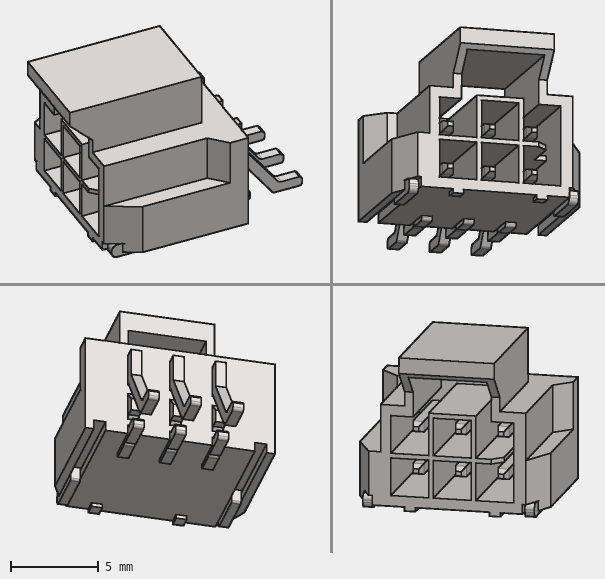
import cadquery as cq


HOUSING_WIDTH = 11.25
HOUSING_DEPTH = 8.7
HOUSING_HEIGHT = 6.0
NOSE_TAPER_WIDTH = 0.99
NOSE_TAPER_DEPTH = 1.98
NOSE_HALF_WIDTH = HOUSING_WIDTH / 2 - NOSE_TAPER_WIDTH

REBATE_FLOOR_Z = 3.2
REBATE_DEPTH = 6.55
LEFT_LEDGE = 0.59
LEFT_REAR_SLOPE = 1.1

COLUMNS = 3
PITCH = 2.5
GRID_CENTER_X = 0.3
LOWER_ROW_Z = 1.75
UPPER_ROW_Z = LOWER_ROW_Z + PITCH
CELL_SIZE = 2.23
CELL_DEPTH = 6.93
CELL_WALL = PITCH - CELL_SIZE
COLUMN_X = [GRID_CENTER_X + PITCH * (i - (COLUMNS - 1) / 2) for i in range(COLUMNS)]
CELL_ROOF_Z = UPPER_ROW_Z + CELL_SIZE / 2

GAP_WIDTH = 0.71
GAP_CHAMFER = 0.62
GAP_DEPTH = 2.95

LATCH_WIDTH = 5.62
LATCH_WALL = 0.5
LATCH_TOP_Z = 9.21
LATCH_ROOF = 1.21
LATCH_LIP_HEIGHT = 0.93
LATCH_OVERHANG = 1.45
LATCH_REAR_Y = 6.93
LATCH_OPENING = LATCH_WIDTH - 2 * LATCH_WALL

PIN_SIZE = 0.63
PIN_TIP_Y = 1.56
PIN_TAPER = 0.59
PIN_TIP_WIDTH = 0.32
PIN_TIP_HEIGHT = 0.27
TAIL_BLOCK_DEPTH = 0.75
TAIL_ROOT_DEPTH = 0.3
TAIL_BLOCK_Y = HOUSING_DEPTH + TAIL_BLOCK_DEPTH
FOOT_BOTTOM_Z = -0.28
FOOT_TOP_Z = FOOT_BOTTOM_Z + PIN_SIZE
TOE_BEVEL = 0.18
SOLE_RADIUS = 0.19
INSTEP_RADIUS = 0.28
UPPER_TAIL_END_Y = 13.3
UPPER_BLOCK_TOP_Z = 5.19
UPPER_BLOCK_BOTTOM_Z = 3.27
UPPER_BEND_Z = 3.52
UPPER_BEND_GAP = 0.13
UPPER_INSTEP_Y = 11.82
UPPER_HEEL_Y = 11.45
LOWER_TAIL_END_Y = 10.0
LOWER_BLOCK_TOP_Z = 1.92
LOWER_BLOCK_BOTTOM_Z = 1.15
NECK_BEVEL = 0.19
LOWER_HEEL_Y = 7.99

PAD_FRONT_Y = 6.35
FOOT_HEIGHT = 0.24
FOOT_DEPTH = 0.74

CLIP_CENTER_X = 4.78
CLIP_WIDTH = 0.56
CLIP_FRONT_Y = 0.3
CLIP_REAR_Y = 3.38
CLIP_NOSE_RADIUS = 0.35
CLIP_HEEL_RADIUS = 0.12
GROOVE_WIDTH = 0.7
GROOVE_HEIGHT = 0.57


def block(x0, x1, y0, y1, z0, z1):
    """Axis-aligned box between the given limits."""
    return cq.Workplane("XY").box(x1 - x0, y1 - y0, z1 - z0, centered=False).translate((x0, y0, z0))


def side_profile(points, center_x, width):
    """Extrude a (Y, Z) outline along X, centred on center_x."""
    outline = cq.Workplane("YZ").polyline(points).close()
    return outline.extrude(width / 2, both=True).translate((center_x, 0, 0))


def plan_profile(points, z0, z1):
    """Extrude an (X, Y) outline from z0 up to z1."""
    return cq.Workplane("XY", origin=(0, 0, z0)).polyline(points).close().extrude(z1 - z0)


def housing_shell():
    half = HOUSING_WIDTH / 2
    plan = [
        (-NOSE_HALF_WIDTH, 0),
        (NOSE_HALF_WIDTH, 0),
        (half, NOSE_TAPER_DEPTH),
        (half, HOUSING_DEPTH),
        (-half, HOUSING_DEPTH),
        (-half, NOSE_TAPER_DEPTH),
    ]
    return plan_profile(plan, 0, HOUSING_HEIGHT)


def side_rebates():
    half = HOUSING_WIDTH / 2
    left_wall_x = -half + LEFT_REAR_SLOPE + LEFT_LEDGE
    left = [
        (-half, 0),
        (left_wall_x, 0),
        (left_wall_x, REBATE_DEPTH),
        (left_wall_x - LEFT_LEDGE, REBATE_DEPTH),
        (-half, REBATE_DEPTH + LEFT_REAR_SLOPE),
    ]
    right = [
        (half, 0),
        (NOSE_HALF_WIDTH, 0),
        (NOSE_HALF_WIDTH, REBATE_DEPTH),
        (half, REBATE_DEPTH + NOSE_TAPER_WIDTH),
    ]
    left_cut = plan_profile(left, REBATE_FLOOR_Z, HOUSING_HEIGHT)
    return left_cut.union(plan_profile(right, REBATE_FLOOR_Z, HOUSING_HEIGHT))


def latch_bridge():
    lip_bottom_z = LATCH_TOP_Z - LATCH_LIP_HEIGHT
    outline = [
        (0, CELL_ROOF_Z),
        (LATCH_REAR_Y, CELL_ROOF_Z),
        (LATCH_REAR_Y, LATCH_TOP_Z),
        (-LATCH_OVERHANG, LATCH_TOP_Z),
        (-LATCH_OVERHANG, lip_bottom_z),
        (0, lip_bottom_z - LATCH_OVERHANG),
    ]
    return side_profile(outline, GRID_CENTER_X, LATCH_WIDTH)


def latch_openings():
    """Tunnel through the latch, and the slot below it that opens into the upper cells around the key box."""
    x0 = GRID_CENTER_X - LATCH_OPENING / 2
    x1 = GRID_CENTER_X + LATCH_OPENING / 2
    tunnel = block(x0, x1, -LATCH_OVERHANG, LATCH_REAR_Y, HOUSING_HEIGHT, LATCH_TOP_Z - LATCH_ROOF)
    slot = block(x0, x1, 0, CELL_DEPTH, UPPER_ROW_Z, HOUSING_HEIGHT)
    key_half_width = CELL_SIZE / 2 + CELL_WALL
    key_box = block(
        GRID_CENTER_X - key_half_width, GRID_CENTER_X + key_half_width,
        0, CELL_DEPTH, UPPER_ROW_Z, CELL_ROOF_Z + CELL_WALL,
    )
    return tunnel.union(slot.cut(key_box))


def contact_cells():
    half = CELL_SIZE / 2
    cells = cq.Workplane("XY")
    for z in (LOWER_ROW_Z, UPPER_ROW_Z):
        for x in COLUMN_X:
            cells = cells.union(block(x - half, x + half, 0, CELL_DEPTH, z - half, z + half))
    return cells


def divider_gap():
    """Gap joining the two right-hand cells, flared at the mating face."""
    outer_x = COLUMN_X[-1] + CELL_SIZE / 2
    inner_x = outer_x - GAP_WIDTH
    plan = [
        (outer_x, 0),
        (inner_x - GAP_CHAMFER, 0),
        (inner_x, GAP_CHAMFER),
        (inner_x, GAP_DEPTH),
        (outer_x, GAP_DEPTH),
    ]
    return plan_profile(plan, LOWER_ROW_Z + CELL_SIZE / 2, UPPER_ROW_Z - CELL_SIZE / 2)


def pin(x, z):
    """Square pin with a tapered tip, anchored in the rear wall."""
    taper_end_y = PIN_TIP_Y + PIN_TAPER
    half = PIN_SIZE / 2
    shank = block(x - half, x + half, taper_end_y, HOUSING_DEPTH, z - half, z + half)
    tip = (
        cq.Workplane("XZ", origin=(x, taper_end_y, z))
        .rect(PIN_SIZE, PIN_SIZE)
        .workplane(offset=PIN_TAPER)
        .rect(PIN_TIP_WIDTH, PIN_TIP_HEIGHT)
        .loft(ruled=True)
    )
    return shank.union(tip)


def round_corner(body, x, y, z, radius):
    """Fillet the edge along X that passes nearest to the given point."""
    return body.edges(cq.selectors.NearestToPointSelector((x, y, z))).fillet(radius)


def toe(end_y):
    """Outline of a foot end: bevelled on top, square below."""
    return [
        (end_y - TOE_BEVEL, FOOT_TOP_Z),
        (end_y, FOOT_TOP_Z - TOE_BEVEL),
        (end_y, FOOT_BOTTOM_Z),
    ]


def upper_tail(x):
    root_y = HOUSING_DEPTH - TAIL_ROOT_DEPTH
    outline = [
        (root_y, UPPER_BLOCK_TOP_Z),
        (TAIL_BLOCK_Y, UPPER_BLOCK_TOP_Z),
        (TAIL_BLOCK_Y, UPPER_BEND_Z),
        (UPPER_INSTEP_Y, FOOT_TOP_Z),
        *toe(UPPER_TAIL_END_Y),
        (UPPER_HEEL_Y, FOOT_BOTTOM_Z),
        (HOUSING_DEPTH + UPPER_BEND_GAP, UPPER_BLOCK_BOTTOM_Z),
        (root_y, UPPER_BLOCK_BOTTOM_Z),
    ]
    tail = side_profile(outline, x, PIN_SIZE)
    tail = round_corner(tail, x, UPPER_INSTEP_Y, FOOT_TOP_Z, INSTEP_RADIUS)
    for y in (UPPER_TAIL_END_Y, UPPER_HEEL_Y):
        tail = round_corner(tail, x, y, FOOT_BOTTOM_Z, SOLE_RADIUS)
    return tail


def lower_tail(x):
    """Block and foot of a lower contact, joined by a neck inside the rear wall."""
    root_y = HOUSING_DEPTH - TAIL_ROOT_DEPTH
    outline = [
        (root_y, LOWER_BLOCK_TOP_Z + TAIL_BLOCK_DEPTH),
        (HOUSING_DEPTH, LOWER_BLOCK_TOP_Z + TAIL_BLOCK_DEPTH),
        (TAIL_BLOCK_Y, LOWER_BLOCK_TOP_Z),
        (TAIL_BLOCK_Y, LOWER_BLOCK_BOTTOM_Z),
        (HOUSING_DEPTH + NECK_BEVEL, LOWER_BLOCK_BOTTOM_Z),
        (HOUSING_DEPTH, LOWER_BLOCK_BOTTOM_Z - NECK_BEVEL),
        (HOUSING_DEPTH, FOOT_TOP_Z + NECK_BEVEL),
        (HOUSING_DEPTH + NECK_BEVEL, FOOT_TOP_Z),
        *toe(LOWER_TAIL_END_Y),
        (LOWER_HEEL_Y, FOOT_BOTTOM_Z),
        (LOWER_HEEL_Y, 0),
        (root_y, 0),
    ]
    tail = side_profile(outline, x, PIN_SIZE)
    for y in (LOWER_TAIL_END_Y, LOWER_HEEL_Y):
        tail = round_corner(tail, x, y, FOOT_BOTTOM_Z, SOLE_RADIUS)
    return tail


def bottom_pad(x):
    """Pad ahead of the lower foot, meeting its heel."""
    half = PIN_SIZE / 2
    pad = block(x - half, x + half, PAD_FRONT_Y, LOWER_HEEL_Y, FOOT_BOTTOM_Z, 0)
    return pad.edges("|X and <Z").fillet(SOLE_RADIUS)


def front_foot(x):
    half = PIN_SIZE / 2
    return block(x - half, x + half, 0, FOOT_DEPTH, -FOOT_HEIGHT, 0)


def clip_groove(center_x):
    half = GROOVE_WIDTH / 2
    return block(center_x - half, center_x + half, 0, HOUSING_DEPTH, 0, GROOVE_HEIGHT)


def solder_clip(center_x):
    half = CLIP_WIDTH / 2
    bar = block(center_x - half, center_x + half, CLIP_FRONT_Y, CLIP_REAR_Y, FOOT_BOTTOM_Z, GROOVE_HEIGHT)
    bar = bar.faces("<Y").edges("|X").fillet(CLIP_NOSE_RADIUS)
    return bar.faces(">Y").edges("|X and <Z").fillet(CLIP_HEEL_RADIUS)


result = housing_shell().cut(side_rebates()).union(latch_bridge())
result = result.cut(latch_openings()).cut(contact_cells()).cut(divider_gap())

for clip_x in (-CLIP_CENTER_X, CLIP_CENTER_X):
    result = result.cut(clip_groove(clip_x)).union(solder_clip(clip_x))

for column_x in COLUMN_X:
    result = result.union(pin(column_x, UPPER_ROW_Z)).union(upper_tail(column_x))
    result = result.union(pin(column_x, LOWER_ROW_Z)).union(lower_tail(column_x))
    result = result.union(bottom_pad(column_x))

for column_x in (COLUMN_X[0], COLUMN_X[-1]):
    result = result.union(front_foot(column_x))